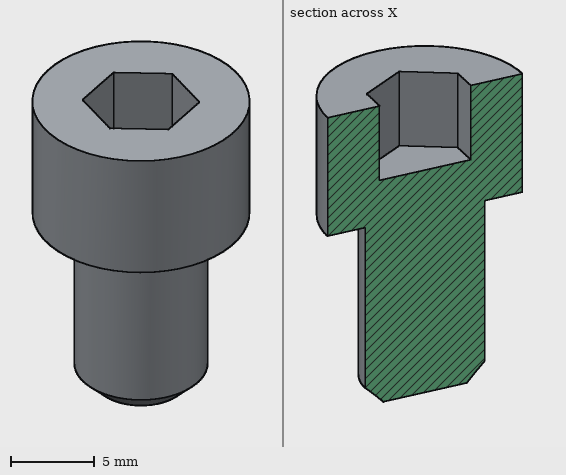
import cadquery as cq
import math

total_length = 20.0
head_diameter = 13.0
head_height = 8.0
head_rim_drop = 0.01
head_rim_width = 0.05
shank_diameter = 8.0
tip_chamfer = 1.22
neck_height = 0.2
neck_flare = 0.01
socket_across_flats = 6.05
socket_depth = 5.0

shank_length = total_length - head_height
shank_radius = shank_diameter / 2
head_radius = head_diameter / 2
socket_across_corners = socket_across_flats / math.cos(math.pi / 6)

body = (
    cq.Workplane("XZ")
    .moveTo(0, 0)
    .lineTo(shank_radius - tip_chamfer, 0)
    .lineTo(shank_radius, tip_chamfer)
    .lineTo(shank_radius, shank_length - neck_height)
    .lineTo(shank_radius + neck_flare, shank_length)
    .lineTo(head_radius, shank_length)
    .lineTo(head_radius, total_length - head_rim_drop)
    .lineTo(head_radius - head_rim_width, total_length)
    .lineTo(0, total_length)
    .close()
    .revolve(360, (0, 0, 0), (0, 1, 0))
)

socket = (
    cq.Workplane("XY")
    .workplane(offset=total_length - socket_depth)
    .polygon(6, socket_across_corners)
    .extrude(socket_depth)
)

result = body.cut(socket)